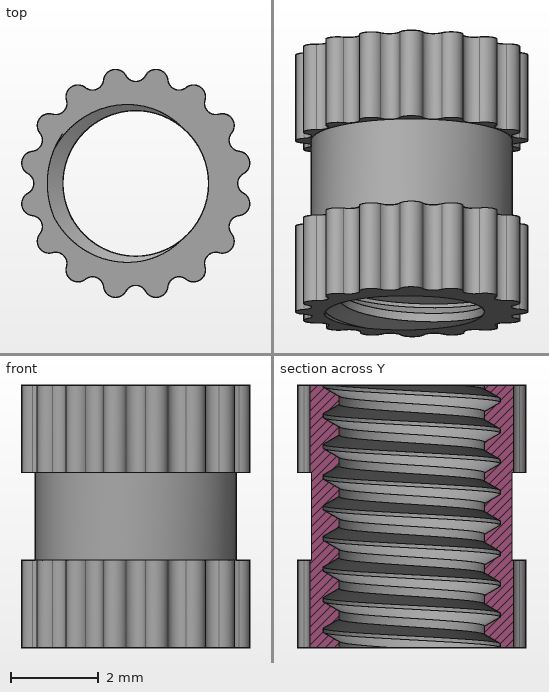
import math

import cadquery as cq

TOTAL_HEIGHT = 6.0
BAND_HEIGHT = 2.0
BODY_DIAMETER = 4.6

TOOTH_COUNT = 16
BAND_WIDTH = 5.21
TOOTH_RADIUS = 0.275
VALLEY_FLOOR_RADIUS = 2.33

BORE_DIAMETER = 3.32
THREAD_ROOT_DIAMETER = 4.04
THREAD_PITCH = 0.7
ROOT_FLAT = THREAD_PITCH / 8
FLANK_ANGLE = 30.0
ROOT_ANGLE_AT_TOP = 180.0
BORE_OVERLAP = 0.05
EXTRA_TURNS = 1
GROOVE_TURNS = math.ceil(TOTAL_HEIGHT / THREAD_PITCH) + 2 * EXTRA_TURNS

TOOTH_STEP = 2 * math.pi / TOOTH_COUNT
HALF_STEP = TOOTH_STEP / 2
TOOTH_CENTER_RADIUS = (BAND_WIDTH / 2 - TOOTH_RADIUS) / math.cos(HALF_STEP)


def polar(radius, angle):
    return (radius * math.cos(angle), radius * math.sin(angle))


def valley_center_radius():
    """Distance from the axis to a valley arc centre that makes it tangent to both teeth."""
    tooth_x, tooth_y = polar(TOOTH_CENTER_RADIUS, HALF_STEP)
    gap = VALLEY_FLOOR_RADIUS - TOOTH_RADIUS
    return (TOOTH_CENTER_RADIUS**2 - gap**2) / (2 * (tooth_x - gap))


def tangent_point(valley_angle, side):
    """Point where a valley arc meets the tooth on its +1 or -1 side."""
    center_radius = valley_center_radius()
    valley_radius = center_radius - VALLEY_FLOOR_RADIUS
    share = valley_radius / (valley_radius + TOOTH_RADIUS)
    valley_x, valley_y = polar(center_radius, valley_angle)
    tooth_x, tooth_y = polar(TOOTH_CENTER_RADIUS, valley_angle + side * HALF_STEP)
    return (valley_x + share * (tooth_x - valley_x), valley_y + share * (tooth_y - valley_y))


def knurled_band(bottom):
    tooth_tip_radius = TOOTH_CENTER_RADIUS + TOOTH_RADIUS
    outline = cq.Workplane("XY", origin=(0, 0, bottom)).moveTo(*tangent_point(0, -1))
    for index in range(TOOTH_COUNT):
        angle = index * TOOTH_STEP
        valley_floor = polar(VALLEY_FLOOR_RADIUS, angle)
        tooth_tip = polar(tooth_tip_radius, angle + HALF_STEP)
        outline = outline.threePointArc(valley_floor, tangent_point(angle, 1))
        outline = outline.threePointArc(tooth_tip, tangent_point(angle + TOOTH_STEP, -1))
    return outline.close().extrude(BAND_HEIGHT)


def helix(radius, height):
    wire = cq.Wire.makeHelix(THREAD_PITCH, GROOVE_TURNS * THREAD_PITCH, radius)
    return wire.translate(cq.Vector(0, 0, height))


def thread_groove():
    """Trapezoidal helical cutter, bounded by ruled faces, that runs past both end faces."""
    root_radius = THREAD_ROOT_DIAMETER / 2
    inner_radius = BORE_DIAMETER / 2 - BORE_OVERLAP
    half_root = ROOT_FLAT / 2
    half_base = half_root + (root_radius - inner_radius) * math.tan(math.radians(FLANK_ANGLE))
    corners = [
        (inner_radius, -half_base),
        (root_radius, -half_root),
        (root_radius, half_root),
        (inner_radius, half_base),
    ]

    edges = [helix(radius, height).Edges()[0] for radius, height in corners]
    faces = []
    for edge, next_edge in zip(edges, edges[1:] + edges[:1]):
        faces.append(cq.Face.makeRuledSurface(edge, next_edge))
    for end_points in ([e.startPoint() for e in edges], [e.endPoint() for e in edges]):
        faces.append(cq.Face.makeFromWires(cq.Wire.makePolygon(end_points, close=True)))
    cutter = cq.Workplane(cq.Solid.makeSolid(cq.Shell.makeShell(faces)))

    start_height = TOTAL_HEIGHT - (GROOVE_TURNS - EXTRA_TURNS) * THREAD_PITCH
    return cutter.rotate((0, 0, 0), (0, 0, 1), ROOT_ANGLE_AT_TOP).translate((0, 0, start_height))


def bore():
    return cq.Workplane("XY").circle(BORE_DIAMETER / 2).extrude(TOTAL_HEIGHT)


body = cq.Workplane("XY").circle(BODY_DIAMETER / 2).extrude(TOTAL_HEIGHT)
for band_bottom in (0, TOTAL_HEIGHT - BAND_HEIGHT):
    body = body.union(knurled_band(band_bottom))

result = body.cut(thread_groove()).cut(bore())